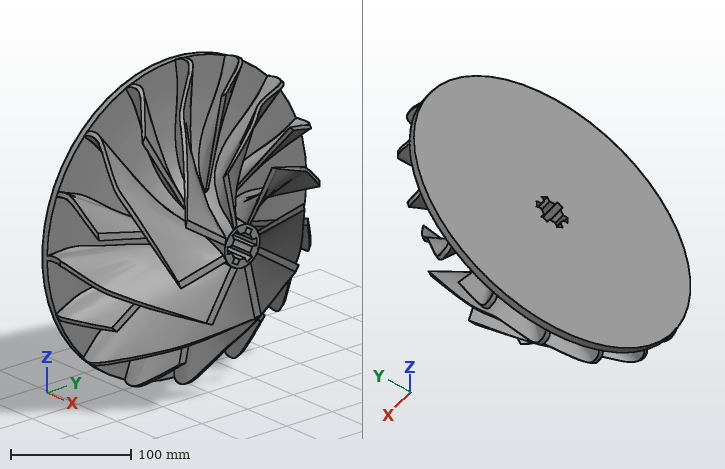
import cadquery as cq
import math

disc_radius = 141.85
disc_thickness = 6.4
impeller_length = 90.0

bore_radius = 11.5
key_slot_radius = 15.9
key_slot_width = 6.3
key_slot_count = 6

main_blade_count = 8
blade_pitch = 360.0 / main_blade_count
splitter_offset = blade_pitch / 2
blade_thickness = 4.5
splitter_length = 40.5
root_sink = 0.9
foot_x = 5.0
foot_root_radius = 136.0
foot_tip_radius = 140.5
root_bevel = 2.2
tip_bevel = 1.0

stations = [
    (disc_thickness, disc_radius, 1.0, disc_radius, 0.2),
    (8.3, 106.0, 0.5, 142.8, 0.5),
    (11.0, 86.0, -3.0, 143.7, 0.8),
    (17.0, 62.0, -7.5, 144.18, 1.0),
    (26.0, 46.0, -11.5, 138.9, -0.6),
    (33.0, 38.5, -13.5, 128.0, -5.3),
    (splitter_length, 32.5, -15.5, 115.8, -11.7),
    (50.0, 26.0, -20.0, 106.0, -16.8),
    (61.0, 21.7, -29.0, 95.0, -23.5),
    (75.0, 19.2, -45.0, 79.8, -37.5),
    (impeller_length, 19.2, -68.0, 70.0, -60.3),
]


def make_hub():
    """Disc and curved hub, revolved about the X axis."""
    hub_curve = [(x, hub_radius) for x, hub_radius, _, _, _ in stations]
    profile = (
        cq.Workplane("XY")
        .lineTo(0, disc_radius)
        .lineTo(*hub_curve[0])
        .spline(hub_curve[1:], includeCurrent=True)
        .lineTo(impeller_length, 0)
        .close()
    )
    return profile.revolve(360, (0, 0, 0), (1, 0, 0))


def blade_point(x, radius, angle, side):
    """Point on one blade side; side is +1 or -1 around the axis."""
    turn = math.radians(angle)
    shift = side * blade_thickness / 2
    y = -radius * math.cos(turn) + shift * math.sin(turn)
    z = radius * math.sin(turn) + shift * math.cos(turn)
    return cq.Vector(x, y, z)


def blade_edge(curve, side, bevel, parameters):
    """Spline along the blade through (x, radius, angle) values."""
    curve = list(curve)
    if side > 0:
        last = curve[-1]
        before = curve[-2]
        fraction = bevel / (last[0] - before[0])
        curve[-1] = tuple(b + (a - b) * fraction for a, b in zip(before, last))
    points = [blade_point(*values, side) for values in curve]
    return cq.Edge.makeSpline(points, parameters=parameters)


def make_blade(length):
    """Blade at angle zero, from the disc to a leading edge at x = length."""
    used = [station for station in stations if station[0] <= length]
    _, _, first_hub_angle, _, first_tip_angle = stations[0]
    root = [(foot_x, foot_root_radius, first_hub_angle)]
    root += [(x, root_sink * radius, angle) for x, radius, angle, _, _ in used]
    tip = [(foot_x, foot_tip_radius, first_tip_angle)]
    tip += [(x, radius, angle) for x, _, _, radius, angle in used]

    distances = [0.0]
    for (x0, r0, _), (x1, r1, _) in zip(root, root[1:]):
        distances.append(distances[-1] + math.hypot(x1 - x0, r1 - r0))

    edges = [
        blade_edge(root, -1, root_bevel, distances),
        blade_edge(tip, -1, tip_bevel, distances),
        blade_edge(tip, 1, tip_bevel, distances),
        blade_edge(root, 1, root_bevel, distances),
    ]
    neighbours = edges[1:] + edges[:1]
    faces = [cq.Face.makeRuledSurface(a, b) for a, b in zip(edges, neighbours)]
    for end in (0, 1):
        corners = [edge.positionAt(end) for edge in edges]
        root_line = cq.Edge.makeLine(corners[0], corners[3])
        tip_line = cq.Edge.makeLine(corners[1], corners[2])
        faces.append(cq.Face.makeRuledSurface(root_line, tip_line))
    return cq.Workplane(cq.Solid.makeSolid(cq.Shell.makeShell(faces)).fix())


def make_bore():
    """Round bore with radial key slots, cut along the whole length."""
    bore = cq.Workplane("YZ").circle(bore_radius).extrude(impeller_length)
    for i in range(key_slot_count // 2):
        slot = (
            cq.Workplane("YZ")
            .rect(2 * key_slot_radius, key_slot_width)
            .extrude(impeller_length)
            .rotate((0, 0, 0), (1, 0, 0), i * 360.0 / key_slot_count)
        )
        bore = bore.union(slot)
    return bore


def turned(blade, angle):
    """Blade moved around the axis, from -Y towards +Z for a positive angle."""
    return blade.rotate((0, 0, 0), (1, 0, 0), -angle)


main_blade = make_blade(impeller_length)
splitter = make_blade(splitter_length)

rim = cq.Workplane("YZ").circle(disc_radius).extrude(impeller_length)
blades = [main_blade.intersect(rim)]
for i in range(1, main_blade_count):
    blades.append(turned(main_blade, i * blade_pitch))
for i in range(main_blade_count):
    blades.append(turned(splitter, i * blade_pitch + splitter_offset))

blade_solids = [blade.val() for blade in blades]
body = cq.Workplane(make_hub().val().fuse(*blade_solids))

result = body.cut(make_bore())